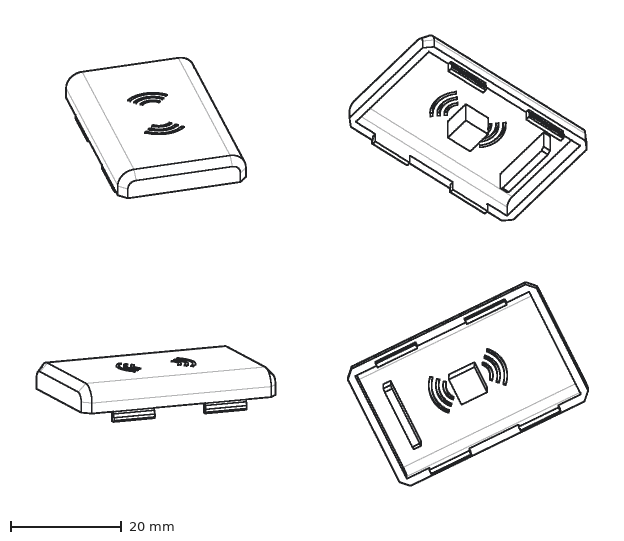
import cadquery as cq
import math

length = 38.0
width = 24.0
body_height = 5.0
edge_radius = 3.0
wall = 1.5
ceiling = 1.0
end_chamfer = 1.5
cavity_length = length - 2 * wall
cavity_width = width - 2 * wall
cavity_height = body_height - ceiling
cavity_radius = edge_radius - wall

clip_length = 8.0
clip_spacing = 17.97
clip_drop = 2.1
clip_neck = 0.72
clip_bulge = 1.0
clip_tip = 0.75
neck_drop = 0.6
bulge_top_drop = 1.25
bulge_bottom_drop = 1.8
clip_inner_y = cavity_width / 2

support_drop = 0.6
post_size = 5.15
rib_outer_x = -14.0
rib_thickness = wall
rib_width = 12.45

slot_apex_x = 2.05
slot_width = 0.5
slot_pitch = 1.3
first_slot_radius = 2.15
slots_per_group = 3
slot_half_angle = math.radians(45)


def rounded_bar(bar_length, bar_width, bar_height, radius):
    """Bar on z = 0 whose two long top edges are rounded."""
    bar = cq.Workplane("XY").box(bar_length, bar_width, bar_height, centered=(True, True, False))
    return bar.edges("|X and >Z").fillet(radius)


def make_shell():
    outside = rounded_bar(length, width, body_height, edge_radius)
    end_edges = outside.faces("<X or >X").edges("not <Z")
    outside = end_edges.chamfer(end_chamfer)
    return outside.cut(rounded_bar(cavity_length, cavity_width, cavity_height, cavity_radius))


def make_clip(center_x):
    """Clip on the +Y wall: a straight inner face and a catch bulging outwards."""
    profile = [
        (clip_inner_y, 0),
        (clip_inner_y + clip_neck, 0),
        (clip_inner_y + clip_neck, -neck_drop),
        (clip_inner_y + clip_bulge, -bulge_top_drop),
        (clip_inner_y + clip_bulge, -bulge_bottom_drop),
        (clip_inner_y + clip_tip, -clip_drop),
        (clip_inner_y, -clip_drop),
    ]
    start = cq.Workplane("YZ", origin=(center_x - clip_length / 2, 0, 0))
    return start.polyline(profile).close().extrude(clip_length)


def make_support(size_x, size_y):
    """Block from the ceiling down past the rim."""
    support_height = cavity_height + support_drop
    block = cq.Workplane("XY").box(size_x, size_y, support_height, centered=(True, True, False))
    return block.translate((0, 0, -support_drop))


def make_slot(inner_radius):
    """Arc slot around the +X apex, with ends cut along radial lines."""
    outer_radius = inner_radius + slot_width

    def point(radius, angle):
        return (slot_apex_x + radius * math.cos(angle), radius * math.sin(angle))

    return (
        cq.Workplane("XY", origin=(0, 0, cavity_height))
        .moveTo(*point(inner_radius, -slot_half_angle))
        .lineTo(*point(outer_radius, -slot_half_angle))
        .threePointArc(point(outer_radius, 0), point(outer_radius, slot_half_angle))
        .lineTo(*point(inner_radius, slot_half_angle))
        .threePointArc(point(inner_radius, 0), point(inner_radius, -slot_half_angle))
        .close()
        .extrude(ceiling)
    )


result = make_shell()

for side in (-1, 1):
    clip = make_clip(side * clip_spacing / 2)
    result = result.union(clip).union(clip.mirror("XZ"))

post = make_support(post_size, post_size)
rib = make_support(rib_thickness, rib_width).edges("|X and <Z").chamfer(support_drop)
rib = rib.translate((rib_outer_x + rib_thickness / 2, 0, 0))
result = result.union(post).union(rib)

for index in range(slots_per_group):
    slot = make_slot(first_slot_radius + index * slot_pitch)
    result = result.cut(slot).cut(slot.mirror("YZ"))